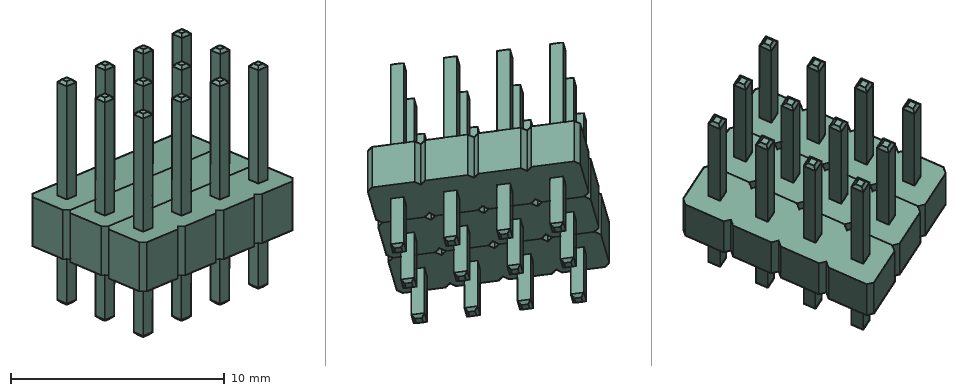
import cadquery as cq

pitch = 2.54
strip_count = 3
pins_per_strip = 4
housing_height = 2.54
corner_cut = 0.25
pin_width = 0.63
pin_length = 11.54
pin_tail = 3.0
tip_chamfer = 0.15


def housing_cell():
    """One square cell with chamfered vertical edges, its bottom at Z = 0."""
    block = cq.Workplane("XY").box(pitch, pitch, housing_height, centered=(True, True, False))
    return block.edges("|Z").chamfer(corner_cut)


def pin():
    """Square pin chamfered at both ends, reaching below Z = 0 by the tail length."""
    shank = cq.Workplane("XY").box(pin_width, pin_width, pin_length, centered=(True, True, False))
    return shank.faces("<Z or >Z").edges().chamfer(tip_chamfer).translate((0, 0, -pin_tail))


def header_strip(x):
    """One pin strip as a single solid: a row of joined cells along Y, each with its pin."""
    cell = housing_cell().union(pin())
    first_y = -pitch * (pins_per_strip - 1) / 2
    strip = cell.translate((x, first_y, 0))
    for index in range(1, pins_per_strip):
        strip = strip.union(cell.translate((x, first_y + index * pitch, 0)))
    return strip.solids().val()


first_x = -pitch * (strip_count - 1) / 2
strips = [header_strip(first_x + index * pitch) for index in range(strip_count)]

result = cq.Compound.makeCompound(strips)